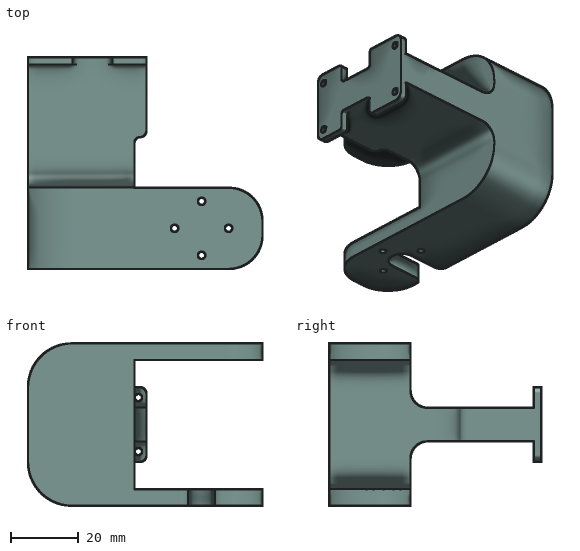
import cadquery as cq

LENGTH = 69.25
HEIGHT = 48.0
BLOCK_DEPTH = 24.0
COLUMN_WIDTH = 31.5
ARM_THICKNESS = 5.0
COLUMN_RADIUS = 13.0
ARM_TIP_RADIUS = 10.0
MID_Z = HEIGHT / 2

PIVOT_INSET = 18.0
PIVOT_X = LENGTH - PIVOT_INSET
PIVOT_Y = BLOCK_DEPTH / 2
HOLE_COUNT = 4
PATTERN_RADIUS = 7.95
HOLE_DIAMETER = 2.1
SLOT_RADIUS = 4.0
SLOT_MOUTH_RADIUS = 2.3

TOTAL_DEPTH = 62.5
PLATE_WIDTH = 35.05
PLATE_THICKNESS = 10.0
PLATE_ROOT_RADIUS = 5.0
STEP_Y = 38.85
STEP_OUTER_RADIUS = 2.0
STEP_INNER_RADIUS = PLATE_WIDTH - COLUMN_WIDTH - STEP_OUTER_RADIUS

TAB_THICKNESS = 2.2
FLANGE_HEIGHT = 22.15
TAB_CORNER_RADIUS = 2.1
TAB_INNER_RADIUS = 1.05
LEFT_TAB_END = 13.15
RIGHT_TAB_START = 25.0
TAB_HOLE_INSET = 2.4
TAB_HOLE_OFFSET = 7.95


def box(x0, x1, y0, y1, z0, z1):
    """Box between opposite corners."""
    return cq.Workplane("XY").box(x1 - x0, y1 - y0, z1 - z0, centered=False).translate((x0, y0, z0))


def clevis_block():
    block = box(0, LENGTH, 0, BLOCK_DEPTH, 0, HEIGHT)
    block = block.edges("|Y and <X").fillet(COLUMN_RADIUS)
    block = block.edges("|Z and >X").fillet(ARM_TIP_RADIUS)
    gap = box(COLUMN_WIDTH, LENGTH, 0, BLOCK_DEPTH, ARM_THICKNESS, HEIGHT - ARM_THICKNESS)
    return block.cut(gap)


def arm_holes():
    return (
        cq.Workplane("XY")
        .center(PIVOT_X, PIVOT_Y)
        .polarArray(PATTERN_RADIUS, 0, 360, HOLE_COUNT)
        .circle(HOLE_DIAMETER / 2)
        .extrude(HEIGHT)
    )


def lower_arm_slot():
    """Round-ended slot opening at the front, with a flared, rounded mouth."""
    mouth_half_width = SLOT_RADIUS + SLOT_MOUTH_RADIUS
    return (
        cq.Workplane("XY")
        .moveTo(PIVOT_X - mouth_half_width, 0)
        .radiusArc((PIVOT_X - SLOT_RADIUS, SLOT_MOUTH_RADIUS), -SLOT_MOUTH_RADIUS)
        .lineTo(PIVOT_X - SLOT_RADIUS, PIVOT_Y)
        .threePointArc((PIVOT_X, PIVOT_Y + SLOT_RADIUS), (PIVOT_X + SLOT_RADIUS, PIVOT_Y))
        .lineTo(PIVOT_X + SLOT_RADIUS, SLOT_MOUTH_RADIUS)
        .radiusArc((PIVOT_X + mouth_half_width, 0), -SLOT_MOUTH_RADIUS)
        .close()
        .extrude(ARM_THICKNESS)
    )


def rear_plate():
    """Plate with a stepped right edge made of two tangent quarter arcs."""
    step_middle_x = COLUMN_WIDTH + STEP_INNER_RADIUS
    return (
        cq.Workplane("XY")
        .workplane(offset=MID_Z - PLATE_THICKNESS / 2)
        .moveTo(0, BLOCK_DEPTH)
        .lineTo(COLUMN_WIDTH, BLOCK_DEPTH)
        .lineTo(COLUMN_WIDTH, STEP_Y - STEP_INNER_RADIUS)
        .radiusArc((step_middle_x, STEP_Y), STEP_INNER_RADIUS)
        .radiusArc((PLATE_WIDTH, STEP_Y + STEP_OUTER_RADIUS), -STEP_OUTER_RADIUS)
        .lineTo(PLATE_WIDTH, TOTAL_DEPTH)
        .lineTo(0, TOTAL_DEPTH)
        .close()
        .extrude(PLATE_THICKNESS)
    )


def plate_root():
    """Concave fillets blending both plate faces into the back of the block."""
    half_root = PLATE_THICKNESS / 2 + PLATE_ROOT_RADIUS
    root_end_y = BLOCK_DEPTH + PLATE_ROOT_RADIUS
    root = box(0, COLUMN_WIDTH, BLOCK_DEPTH, root_end_y, MID_Z - half_root, MID_Z + half_root)
    for z in (MID_Z - half_root, MID_Z + half_root):
        relief = (
            cq.Workplane("YZ")
            .center(root_end_y, z)
            .circle(PLATE_ROOT_RADIUS)
            .extrude(COLUMN_WIDTH)
        )
        root = root.cut(relief)
    return root


def flange():
    """Back flange, notched above and below the plate so that four tabs remain."""
    front_y = TOTAL_DEPTH - TAB_THICKNESS
    bottom_z = MID_Z - FLANGE_HEIGHT / 2
    top_z = MID_Z + FLANGE_HEIGHT / 2
    body = box(0, PLATE_WIDTH, front_y, TOTAL_DEPTH, bottom_z, top_z)
    body = body.edges("|Y").fillet(TAB_CORNER_RADIUS)

    upper_z = MID_Z + PLATE_THICKNESS / 2
    lower_z = MID_Z - PLATE_THICKNESS / 2
    for z0, z1 in ((upper_z, top_z), (bottom_z, lower_z)):
        notch = box(LEFT_TAB_END, RIGHT_TAB_START, front_y, TOTAL_DEPTH, z0, z1)
        body = body.cut(notch)
    margin = TAB_INNER_RADIUS
    notch_corners = cq.selectors.BoxSelector(
        (LEFT_TAB_END - margin, front_y, bottom_z - margin),
        (RIGHT_TAB_START + margin, TOTAL_DEPTH, top_z + margin),
    )
    return body.edges("|Y").edges(notch_corners).fillet(TAB_INNER_RADIUS)


def tab_holes():
    return (
        cq.Workplane("XZ", origin=(PLATE_WIDTH / 2, TOTAL_DEPTH, MID_Z))
        .rect(PLATE_WIDTH - 2 * TAB_HOLE_INSET, 2 * TAB_HOLE_OFFSET, forConstruction=True)
        .vertices()
        .circle(HOLE_DIAMETER / 2)
        .extrude(TAB_THICKNESS)
    )


result = (
    clevis_block()
    .cut(arm_holes())
    .cut(lower_arm_slot())
    .union(rear_plate())
    .union(plate_root())
    .union(flange())
    .cut(tab_holes())
)